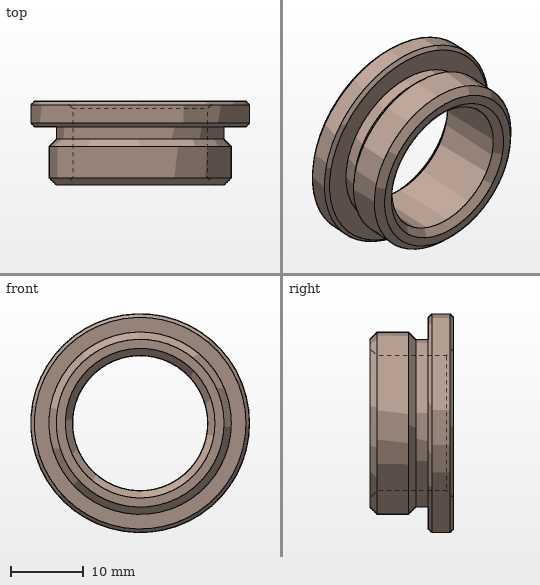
import cadquery as cq

total_length = 11.5
flange_diameter = 30.0
flange_thickness = 3.5
flange_chamfer = 0.5
body_diameter = 25.0
body_chamfer = 1.0
bore_diameter = 18.5
bore_chamfer = 1.0
groove_width = 1.7

flange_radius = flange_diameter / 2
body_radius = body_diameter / 2
bore_radius = bore_diameter / 2
groove_radius = body_radius - body_chamfer

flange_face_y = total_length - flange_thickness
body_end_y = flange_face_y - groove_width


def turned_ring():
    """Revolve the half section (radius along X, axis along Y) into the bushing."""
    half_section = (
        cq.Workplane("XY")
        .moveTo(bore_radius + bore_chamfer, 0)
        .lineTo(body_radius - body_chamfer, 0)
        .lineTo(body_radius, body_chamfer)
        .lineTo(body_radius, body_end_y - body_chamfer)
        .lineTo(groove_radius, body_end_y)
        .lineTo(groove_radius, flange_face_y)
        .lineTo(flange_radius - flange_chamfer, flange_face_y)
        .lineTo(flange_radius, flange_face_y + flange_chamfer)
        .lineTo(flange_radius, total_length - flange_chamfer)
        .lineTo(flange_radius - flange_chamfer, total_length)
        .lineTo(bore_radius + bore_chamfer, total_length)
        .lineTo(bore_radius, total_length - bore_chamfer)
        .lineTo(bore_radius, bore_chamfer)
        .close()
    )
    return half_section.revolve(360, (0, 0, 0), (0, 1, 0))


result = turned_ring()